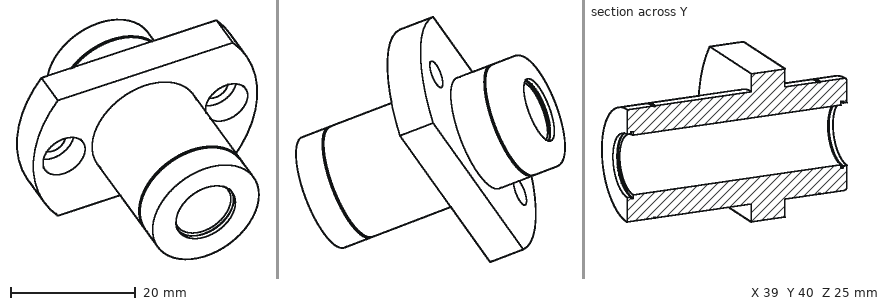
import cadquery as cq

sleeve_length = 39.0
sleeve_diameter = 19.0
end_fillet = 0.6
bore_diameter = 10.0
mouth_diameter = 10.6
mouth_depth = 0.7

undercut_diameter = 11.2
undercut_width = 0.35

groove_end_distance = 4.75
groove_width = 0.25
groove_depth = 0.1

flange_start = 11.0
flange_thickness = 6.0
flange_diameter = 40.0
flange_height = 25.0

hole_spacing = 29.0
hole_diameter = 4.5
counterbore_diameter = 7.5
counterbore_depth = 4.1


def cylinder(diameter, start, length, y=0):
    """Solid cylinder along +X, starting at X = start."""
    return cq.Workplane("YZ", origin=(start, y, 0)).circle(diameter / 2).extrude(length)


def make_sleeve():
    return cylinder(sleeve_diameter, 0, sleeve_length).faces("<X").edges().fillet(end_fillet)


def make_flange():
    disc = cylinder(flange_diameter, flange_start, flange_thickness)
    flats = (
        cq.Workplane("YZ", origin=(flange_start, 0, 0))
        .rect(flange_diameter, flange_height)
        .extrude(flange_thickness)
    )
    return disc.intersect(flats)


def make_groove(start):
    """Ring of material to remove for one groove."""
    floor_diameter = sleeve_diameter - 2 * groove_depth
    ring = cylinder(sleeve_diameter, start, groove_width)
    return ring.cut(cylinder(floor_diameter, start, groove_width))


def make_mounting_hole(y):
    """Through hole joined to its counterbore."""
    flange_end = flange_start + flange_thickness
    hole = cylinder(hole_diameter, flange_start, flange_thickness, y)
    counterbore = cylinder(counterbore_diameter, flange_end - counterbore_depth, counterbore_depth, y)
    return hole.union(counterbore)


flange = make_flange()
for side in (-1, 1):
    flange = flange.cut(make_mounting_hole(side * hole_spacing / 2))

result = make_sleeve().union(flange)

result = result.cut(cylinder(bore_diameter, 0, sleeve_length))
for mouth_start in (0, sleeve_length - mouth_depth):
    result = result.cut(cylinder(mouth_diameter, mouth_start, mouth_depth))
for undercut_start in (mouth_depth, sleeve_length - mouth_depth - undercut_width):
    result = result.cut(cylinder(undercut_diameter, undercut_start, undercut_width))

for groove_start in (groove_end_distance, sleeve_length - groove_end_distance - groove_width):
    result = result.cut(make_groove(groove_start))